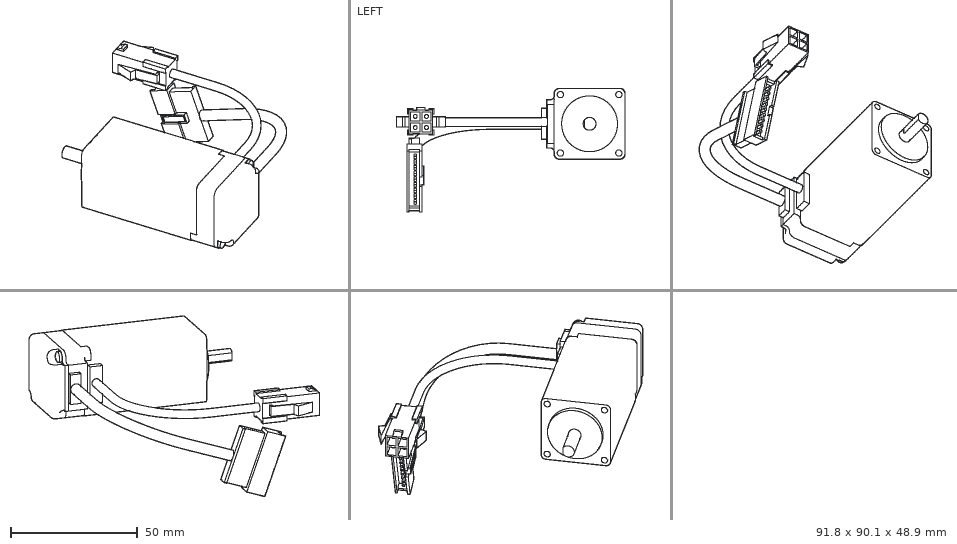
import cadquery as cq
import math


body_side = 28.0
half_side = body_side / 2
motor_length = 51.2
motor_corner_radius = 2.0
boss_diameter = 22.0
boss_height = 1.9
shaft_diameter = 5.05
shaft_reach = 15.0
shaft_flat_length = 10.2
shaft_flat_depth = 0.5
screw_pitch = 23.0
mount_hole_diameter = 2.5
mount_hole_depth = 4.0
drill_tip_angle = 118.0

base_thickness = 7.9
cap_thickness = 6.15
encoder_corner_radius = 2.6
cap_front_x = motor_length + base_thickness
encoder_rear_x = cap_front_x + cap_thickness
pad_length = 9.4
pad_width = 19.1
pad_height = 2.9
pad_root_radius = 1.5
tab_length = 2.6
tab_side = 4.5
notch_radius = 2.3

screw_diameter = 4.4
screw_rim_height = 1.1
screw_dome_height = 0.8

bend_radius = 30.0
straight_length = 19.9
motor_cable_diameter = 3.5
motor_cable_x = 47.4
motor_cable_z = 0.7
motor_grommet = (5.2, 2.6, 15.3)
encoder_cable_diameter = 4.4
encoder_cable_x = 56.7
encoder_cable_z = 0.0
encoder_grommet = (4.4, 2.1, 12.3)
encoder_cable_tilt = 20.0

plug_length = 24.0
plug_side = 9.4
plug_collar_length = 10.1
plug_collar_side = 10.5
plug_collar_arm = 2.1
cell_side = 3.6
cell_pitch = 4.4
cell_depth = 7.3
plug_pin_diameter = 1.6
plug_pin_length = 3.7
key_width = 3.4
key_height = 1.1
key_length = 3.4
key_ramp_length = 2.2
latch_width = 4.1
latch_reach = 9.6
latch_tip = (-20.1, 7.2)
latch_barb_x = -13.2
latch_barb_foot = (-12.2, 7.25)
latch_arm_outer_y = 6.8
latch_arm_inner_y = 6.2
latch_post_rear = 2.8
latch_post_thickness = 1.0

header_length = 8.1
header_width = 25.7
header_thickness = 6.0
header_offset = 0.6
tail_length = 10.3
tail_width = 23.0
tail_thickness = 3.0
tail_lip_thickness = 1.1
tail_lip_length = 1.1
slot_thickness = 4.1
far_wall_thickness = 0.7
near_wall_thickness = header_thickness - slot_thickness - far_wall_thickness
end_wall_setback = 1.65
end_wall_thickness = 1.1
slot_depth = 4.2
header_pin_count = 9
header_pin_pitch = 2.4
header_pin_diameter = 1.1
header_pin_length = 2.75
header_pin_offset = 0.5
keyway_width = 3.95
keyway_length = 1.6
rail_length = 11.2
rail_height = 0.7
rail_wall = 0.6
rail_groove_depth = 0.5

pad_top_y = half_side + pad_height
pad_rear_x = motor_length + pad_length
shell_section = ((-half_side, pad_top_y), (-half_side, half_side))
notch_offset = screw_pitch / 2
motor_bend_y = half_side + motor_grommet[1] + straight_length
encoder_bend_y = pad_top_y + encoder_grommet[1] + straight_length
motor_plug_y = motor_bend_y + bend_radius
encoder_plug_y = encoder_bend_y + bend_radius
motor_plug_rear_x = motor_cable_x - bend_radius - straight_length
encoder_plug_rear_x = encoder_cable_x - bend_radius - straight_length

screw_corners = [(1, 1), (-1, -1)]


def block(x_range, y_range, z_range):
    """Box that fills the given X, Y and Z ranges."""
    size = [high - low for low, high in (x_range, y_range, z_range)]
    corner = (x_range[0], y_range[0], z_range[0])
    return cq.Workplane("XY").box(*size, centered=False).translate(corner)


def around(center, size):
    """Range of the given size centred on a value."""
    return (center - size / 2, center + size / 2)


def rod(x_start, x_end, diameter, y=0.0, z=0.0):
    """Cylinder along X."""
    axis = cq.Vector(1, 0, 0)
    return cq.Workplane(cq.Solid.makeCylinder(diameter / 2, x_end - x_start, cq.Vector(x_start, y, z), axis))


def corner_block(x_range, corner, side):
    """Square block in one corner of the motor's square section."""
    sign_y, sign_z = corner
    y_range = sorted((sign_y * half_side, sign_y * (half_side - side)))
    z_range = sorted((sign_z * half_side, sign_z * (half_side - side)))
    return block(x_range, y_range, z_range)


def square_body(x_start, x_end, corner_radius):
    """Length of the square section with rounded long edges."""
    body = block((x_start, x_end), (-half_side, half_side), (-half_side, half_side))
    return body.edges("|X").fillet(corner_radius)


def tilt_with_cable(body):
    """Turn a body about the encoder cable's first straight stretch."""
    pivot_start = (encoder_cable_x, 0, encoder_cable_z)
    pivot_end = (encoder_cable_x, 1, encoder_cable_z)
    return body.rotate(pivot_start, pivot_end, -encoder_cable_tilt)


def make_mount_hole(y, z):
    """Blind hole from the front face with a drill-point bottom."""
    radius = mount_hole_diameter / 2
    tip = radius / math.tan(math.radians(drill_tip_angle / 2))
    outline = [(0, 0), (0, radius), (mount_hole_depth, radius), (mount_hole_depth + tip, 0)]
    hole = cq.Workplane("XY").polyline(outline).close().revolve(360, (0, 0, 0), (1, 0, 0))
    return hole.translate((0, y, z))


def make_motor():
    motor = square_body(0, motor_length, motor_corner_radius)
    motor = motor.union(rod(-boss_height, 0, boss_diameter))

    flat_y = shaft_diameter / 2 - shaft_flat_depth
    flat_cut = block(
        (-shaft_reach, -shaft_reach + shaft_flat_length),
        (flat_y, shaft_diameter / 2),
        around(0, shaft_diameter),
    )
    motor = motor.union(rod(-shaft_reach, 0, shaft_diameter).cut(flat_cut))

    for y in around(0, screw_pitch):
        for z in around(0, screw_pitch):
            motor = motor.cut(make_mount_hole(y, z))

    for corner in screw_corners:
        motor = motor.cut(corner_block((motor_length - tab_length, motor_length), corner, tab_side))
    return motor


def make_encoder_shell():
    """Base and cap in one piece, with the cable pad on +Y."""
    shell = block((motor_length, encoder_rear_x), (-half_side, half_side), (-half_side, half_side))
    shell = shell.edges("|X or >X").fillet(encoder_corner_radius)
    pad = block((motor_length, pad_rear_x), (0, pad_top_y), around(0, pad_width))
    shell = shell.union(pad)
    margin = pad_root_radius / 4
    root_edges = cq.selectors.BoxSelector(
        (motor_length + margin, half_side - margin, -pad_width / 2 - margin),
        (pad_rear_x + margin, half_side + margin, pad_width / 2 + margin),
    )
    return shell.edges(root_edges).fillet(pad_root_radius)


def make_screw_notch(corner):
    """Round-bottomed corner cut that gives room for a cap screw's head."""
    sign_y, sign_z = corner
    x_range = (pad_rear_x, encoder_rear_x)
    y = sign_y * notch_offset
    z = sign_z * notch_offset
    notch = rod(*x_range, 2 * notch_radius, y, z)
    y_out = sorted((y, sign_y * (half_side + pad_height)))
    z_out = sorted((z, sign_z * (half_side + pad_height)))
    notch = notch.union(block(x_range, y_out, sorted((z - sign_z * notch_radius, sign_z * half_side))))
    return notch.union(block(x_range, sorted((y - sign_y * notch_radius, sign_y * half_side)), z_out))


def make_encoder_base(shell):
    base = shell.intersect(block((motor_length, cap_front_x), *shell_section))
    section = square_body(motor_length - tab_length, motor_length, encoder_corner_radius)
    for corner in screw_corners:
        tab = corner_block((motor_length - tab_length, motor_length), corner, tab_side)
        base = base.union(section.intersect(tab))
    return base


def make_encoder_cap(shell):
    cap = shell.intersect(block((cap_front_x, encoder_rear_x), *shell_section))
    for corner in screw_corners:
        cap = cap.cut(make_screw_notch(corner))
    return cap


def make_cap_screw(corner):
    """Domed screw head that rests on the floor of a cap notch."""
    sign_y, sign_z = corner
    radius = screw_diameter / 2
    sphere_radius = (radius**2 + screw_dome_height**2) / (2 * screw_dome_height)
    mid_angle = math.asin(radius / sphere_radius) / 2
    top = screw_rim_height + screw_dome_height
    sphere_center = top - sphere_radius
    arc_middle = (
        sphere_center + sphere_radius * math.cos(mid_angle),
        sphere_radius * math.sin(mid_angle),
    )
    profile = (
        cq.Workplane("XY")
        .lineTo(0, radius)
        .lineTo(screw_rim_height, radius)
        .threePointArc(arc_middle, (top, 0))
        .close()
    )
    head = profile.revolve(360, (0, 0, 0), (1, 0, 0))
    return head.translate((pad_rear_x, sign_y * notch_offset, sign_z * notch_offset))


def make_cable(x, z, diameter, mount_y, grommet):
    """Cable that leaves along +Y, bends a quarter turn and runs along -X, with its grommet."""
    width, depth, height = grommet
    start_y = mount_y + depth
    bend_y = start_y + straight_length
    bend_center_x = x - bend_radius
    half_turn = bend_radius * math.sqrt(0.5)
    path = (
        cq.Workplane("XY", origin=(0, 0, z))
        .moveTo(x, start_y)
        .lineTo(x, bend_y)
        .threePointArc(
            (bend_center_x + half_turn, bend_y + half_turn),
            (bend_center_x, bend_y + bend_radius),
        )
        .lineTo(bend_center_x - straight_length, bend_y + bend_radius)
    )
    cable = cq.Workplane("XZ", origin=(x, start_y, z)).circle(diameter / 2).sweep(path)
    return cable, block(around(x, width), (mount_y, start_y), around(0, height))


def make_motor_cable():
    cable, grommet = make_cable(
        motor_cable_x, motor_cable_z, motor_cable_diameter, half_side, motor_grommet
    )
    return grommet.union(cable)


def make_encoder_cable():
    cable, grommet = make_cable(
        encoder_cable_x, encoder_cable_z, encoder_cable_diameter, pad_top_y, encoder_grommet
    )
    return grommet.union(tilt_with_cable(cable))


def make_plug_latch():
    """Barbed spring latch on the plug's +Y side, in the plug's own frame (rear face at X = 0)."""
    root_y = plug_side / 2
    post_front = -latch_post_rear - latch_post_thickness
    outline = [
        latch_tip,
        (latch_barb_x, latch_reach),
        latch_barb_foot,
        (-latch_post_rear, latch_arm_outer_y),
        (-latch_post_rear, root_y),
        (post_front, root_y),
        (post_front, latch_arm_inner_y),
    ]
    return cq.Workplane("XY").polyline(outline).close().extrude(latch_width / 2, both=True)


def make_motor_plug():
    """Four-way plug, built with the cable axis along X and its rear face at X = 0."""
    front_x = -plug_length
    side_range = around(0, plug_side)
    plug = block((front_x, 0), side_range, side_range)

    collar_range = (-plug_collar_length, 0)
    collar = block(collar_range, around(0, plug_collar_side), around(0, plug_collar_side))
    gap = plug_collar_side - 2 * plug_collar_arm
    collar = collar.cut(block(collar_range, around(0, gap), around(0, plug_collar_side)))
    collar = collar.cut(block(collar_range, around(0, plug_collar_side), around(0, gap)))
    plug = plug.union(collar)

    key_base = plug_side / 2
    key_outline = [
        (front_x, key_base),
        (front_x + key_ramp_length, key_base + key_height),
        (front_x + key_length, key_base + key_height),
        (front_x + key_length, key_base),
    ]
    plug = plug.union(cq.Workplane("XZ").polyline(key_outline).close().extrude(key_width / 2, both=True))

    latch = make_plug_latch()
    plug = plug.union(latch).union(latch.mirror("XZ"))

    floor_x = front_x + cell_depth
    for y in around(0, cell_pitch):
        for z in around(0, cell_pitch):
            plug = plug.cut(block((front_x, floor_x), around(y, cell_side), around(z, cell_side)))
            plug = plug.union(rod(floor_x - plug_pin_length, floor_x, plug_pin_diameter, y, z))
    return plug.translate((motor_plug_rear_x, motor_plug_y, motor_cable_z))


def make_encoder_plug():
    """Flat nine-way plug, built with the cable axis along X and its rear face at X = 0."""
    header_rear_x = -tail_length
    front_x = header_rear_x - header_length
    near_y = -header_thickness / 2
    far_y = header_thickness / 2
    slot_near_y = near_y + near_wall_thickness
    slot_far_y = far_y - far_wall_thickness

    plug = block((front_x, header_rear_x), (near_y, far_y), around(header_offset, header_width))

    tail_far_y = slot_near_y + tail_thickness
    tail_z = around(header_offset, tail_width)
    plug = plug.union(block((header_rear_x, 0), (slot_near_y, tail_far_y), tail_z))
    plug = plug.union(block((-tail_lip_length, 0), (tail_far_y, tail_far_y + tail_lip_thickness), tail_z))

    wall_x = front_x + end_wall_setback
    floor_x = front_x + slot_depth
    slot_y = (slot_near_y, slot_far_y)
    plug = plug.cut(block((front_x, wall_x), slot_y, around(header_offset, header_width)))
    pocket_width = header_width - 2 * end_wall_thickness
    plug = plug.cut(block((wall_x, floor_x), slot_y, around(header_offset, pocket_width)))

    pin_y = (slot_near_y + slot_far_y) / 2 - header_pin_offset
    for index in range(header_pin_count):
        pin_z = header_offset + (index - (header_pin_count - 1) / 2) * header_pin_pitch
        plug = plug.union(rod(floor_x - header_pin_length, floor_x, header_pin_diameter, pin_y, pin_z))

    rail_x = front_x + keyway_length
    rail_end_x = rail_x + rail_length
    keyway_z = around(header_offset, keyway_width)
    rail_face_y = near_y - rail_height
    plug = plug.union(block((rail_x, rail_end_x), (rail_face_y, slot_near_y), keyway_z))
    plug = plug.cut(block((front_x, rail_x), (near_y, slot_near_y), keyway_z))
    groove_z = around(header_offset, keyway_width - 2 * rail_wall)
    groove_y = (rail_face_y, rail_face_y + rail_groove_depth)
    plug = plug.cut(block((rail_x + rail_wall, rail_end_x - rail_wall), groove_y, groove_z))

    placed = plug.translate((encoder_plug_rear_x, encoder_plug_y, encoder_cable_z))
    return tilt_with_cable(placed)


motor = make_motor()
encoder_shell = make_encoder_shell()
encoder_base = make_encoder_base(encoder_shell)
encoder_cap = make_encoder_cap(encoder_shell)
cap_screws = [make_cap_screw(corner) for corner in screw_corners]
motor_cable = make_motor_cable()
encoder_cable = make_encoder_cable()
motor_plug = make_motor_plug()
encoder_plug = make_encoder_plug()

result = cq.Compound.makeCompound(
    [
        motor.val(),
        encoder_base.val(),
        encoder_cap.val(),
        *[screw.val() for screw in cap_screws],
        motor_cable.val(),
        encoder_cable.val(),
        motor_plug.val(),
        encoder_plug.val(),
    ]
)